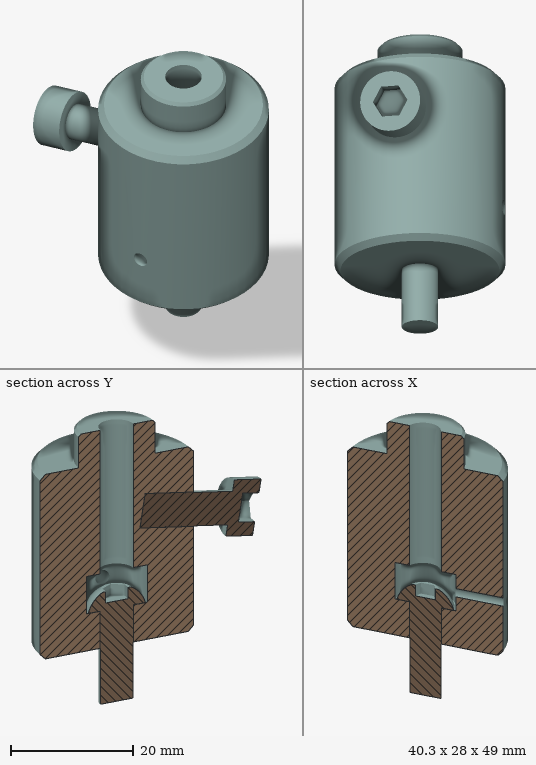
import cadquery as cq
import math

TOTAL_HEIGHT = 49.0
SHANK_STICKOUT = 10.0
BOSS_HEIGHT = 6.0
DRUM_HEIGHT = TOTAL_HEIGHT - SHANK_STICKOUT - BOSS_HEIGHT
DRUM_DIAMETER = 28.0
DRUM_CHAMFER = 1.0
BOSS_DIAMETER = DRUM_DIAMETER / 2
BOSS_CHAMFER = 0.5
DRUM_BOTTOM = SHANK_STICKOUT
DRUM_TOP = DRUM_BOTTOM + DRUM_HEIGHT

BUTTON_SHANK_DIAMETER = 6.0
BUTTON_HEAD_DIAMETER = 10.5
BUTTON_HEAD_HEIGHT = 3.3
BUTTON_FLAT_DIAMETER = 5.2
BUTTON_TOP = 2 * SHANK_STICKOUT
BUTTON_SEAT = BUTTON_TOP - BUTTON_HEAD_HEIGHT
BUTTON_SOCKET_FLATS = 4.0
BUTTON_SOCKET_DEPTH = 2.0

TOP_BORE_DIAMETER = 6.0
CHAMBER_DIAMETER = 11.0
CHAMBER_HEIGHT = 2 * BUTTON_HEAD_HEIGHT

SIDE_HOLE_DIAMETER = 2.5
SIDE_HOLE_DEPTH = DRUM_DIAMETER / 2
SIDE_HOLE_Z = BUTTON_TOP

SCREW_TILT = 9.0
SCREW_HEAD_X = -25.5
SCREW_HEAD_Z = 29.85
SCREW_HEAD_DIAMETER = 10.0
SCREW_HEAD_HEIGHT = 5.0
SCREW_SHANK_DIAMETER = 6.0
SCREW_SHANK_LENGTH = 16.0
SCREW_SOCKET_FLATS = 5.0
SCREW_SOCKET_DEPTH = 3.0

HEX_CORNERS_PER_FLATS = 2 / math.sqrt(3)


def hex_prism(plane, flats, depth):
    """Hexagonal prism with two corners on the plane's local X direction."""
    return cq.Workplane(plane).polygon(6, flats * HEX_CORNERS_PER_FLATS).extrude(depth)


def screw_plane():
    """Plane on the outer face of the screw head, its normal pointing into the housing."""
    upright = cq.Plane(origin=(SCREW_HEAD_X, 0, SCREW_HEAD_Z), xDir=(0, 1, 0), normal=(1, 0, 0))
    return upright.rotated((-SCREW_TILT, 0, 0))


def screw_shank():
    """Shank from under the head to its tip; also the shape of its hole in the housing."""
    return (
        cq.Workplane(screw_plane())
        .workplane(offset=SCREW_HEAD_HEIGHT)
        .circle(SCREW_SHANK_DIAMETER / 2)
        .extrude(SCREW_SHANK_LENGTH)
    )


def make_cap_screw():
    head = cq.Workplane(screw_plane()).circle(SCREW_HEAD_DIAMETER / 2).extrude(SCREW_HEAD_HEIGHT)
    socket = hex_prism(screw_plane(), SCREW_SOCKET_FLATS, SCREW_SOCKET_DEPTH)
    return head.union(screw_shank()).cut(socket)


def make_button_screw():
    """Revolved shank and domed head; the dome is part of a sphere centred on the axis."""
    shank_radius = BUTTON_SHANK_DIAMETER / 2
    rim_radius = BUTTON_HEAD_DIAMETER / 2
    flat_radius = BUTTON_FLAT_DIAMETER / 2
    centre_height = (flat_radius**2 + BUTTON_HEAD_HEIGHT**2 - rim_radius**2) / (2 * BUTTON_HEAD_HEIGHT)
    sphere_radius = math.hypot(rim_radius, centre_height)
    middle_radius = (rim_radius + flat_radius) / 2
    middle_height = centre_height + math.sqrt(sphere_radius**2 - middle_radius**2)
    body = (
        cq.Workplane("XZ")
        .lineTo(shank_radius, 0)
        .lineTo(shank_radius, BUTTON_SEAT)
        .lineTo(rim_radius, BUTTON_SEAT)
        .threePointArc((middle_radius, BUTTON_SEAT + middle_height), (flat_radius, BUTTON_TOP))
        .lineTo(0, BUTTON_TOP)
        .close()
        .revolve(360, (0, 0, 0), (0, 1, 0))
    )
    socket_plane = cq.Plane(
        origin=(0, 0, BUTTON_TOP - BUTTON_SOCKET_DEPTH), xDir=(0, 1, 0), normal=(0, 0, 1)
    )
    return body.cut(hex_prism(socket_plane, BUTTON_SOCKET_FLATS, BUTTON_SOCKET_DEPTH))


def side_hole():
    entry = cq.Plane(
        origin=(0, -DRUM_DIAMETER / 2, SIDE_HOLE_Z), xDir=(1, 0, 0), normal=(0, 1, 0)
    )
    return cq.Workplane(entry).circle(SIDE_HOLE_DIAMETER / 2).extrude(SIDE_HOLE_DEPTH)


def axial_passages():
    """Shank hole, head chamber and top bore, all on the Z axis."""
    shank_hole = cq.Workplane("XY").circle(BUTTON_SHANK_DIAMETER / 2).extrude(BUTTON_SEAT)
    chamber = (
        cq.Workplane("XY", origin=(0, 0, BUTTON_SEAT))
        .circle(CHAMBER_DIAMETER / 2)
        .extrude(CHAMBER_HEIGHT)
    )
    top_bore = (
        cq.Workplane("XY", origin=(0, 0, BUTTON_SEAT))
        .circle(TOP_BORE_DIAMETER / 2)
        .extrude(TOTAL_HEIGHT - BUTTON_SEAT)
    )
    return shank_hole.union(chamber).union(top_bore)


def make_housing():
    drum = (
        cq.Workplane("XY", origin=(0, 0, DRUM_BOTTOM))
        .circle(DRUM_DIAMETER / 2)
        .extrude(DRUM_HEIGHT)
        .faces("<Z or >Z")
        .chamfer(DRUM_CHAMFER)
    )
    boss = (
        cq.Workplane("XY", origin=(0, 0, DRUM_TOP))
        .circle(BOSS_DIAMETER / 2)
        .extrude(BOSS_HEIGHT)
        .faces(">Z")
        .chamfer(BOSS_CHAMFER)
    )
    return drum.union(boss).cut(axial_passages()).cut(side_hole()).cut(screw_shank())


housing = make_housing()
button_screw = make_button_screw()
cap_screw = make_cap_screw()

result = cq.Compound.makeCompound([housing.val(), button_screw.val(), cap_screw.val()])